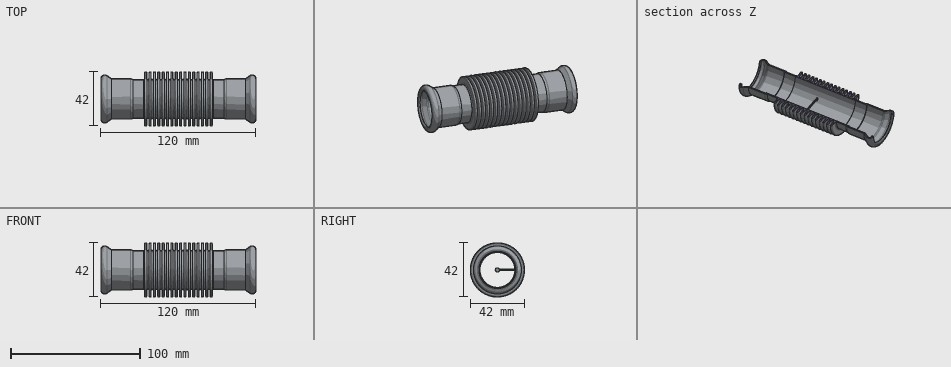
import cadquery as cq
import math

half_length = 60.0

fold_count = 16
bellows_length = 54.0
fold_pitch = bellows_length / fold_count
fold_outer_radius = 42.0 / 2
fold_round = fold_pitch / 4
bellows_half_length = bellows_length / 2

socket_radius = 31.3 / 2
socket_bore_radius = 28.2 / 2
neck_radius = 30.0 / 2
neck_bore_radius = 27.0 / 2
wall = socket_radius - socket_bore_radius
socket_end_x = -37.1
neck_start_x = -35.3

bead_round = 3.0
bead_inner_round = bead_round - wall
bead_center_x = -half_length + bead_round
bead_center_radius = 15.6
bead_cone_angle = math.radians(35)
bore_bend_round = 1.8
mouth_radius = 28.8 / 2
mouth_edge_round = 0.4

disc_diameter = 3.4
disc_thickness = 1.1
arm_width = 1.1


def arc_point(center, radius, angle):
    """Point of a circle, with the angle measured from +Y towards +X."""
    return (center[0] + radius * math.sin(angle), center[1] + radius * math.cos(angle))


def cone_foot_x(round_radius, foot_radius):
    """X where the cone tangent to a bead round comes down to foot_radius."""
    bead_center = (bead_center_x, bead_center_radius)
    start_x, start_radius = arc_point(bead_center, round_radius, bead_cone_angle)
    return start_x + (start_radius - foot_radius) / math.tan(bead_cone_angle)


def revolve_about_x(profile):
    return profile.revolve(360, (0, 0, 0), (1, 0, 0))


def make_left_fitting():
    bead_center = (bead_center_x, bead_center_radius)
    front_left = -math.pi / 4

    step_length = neck_start_x - socket_end_x
    step_height = socket_radius - neck_radius
    step_round = (step_length**2 + step_height**2) / (2 * step_height)
    step_center = (socket_end_x, socket_radius - step_round)
    step_half_angle = math.asin(step_length / step_round) / 2

    bend_x = cone_foot_x(bead_inner_round, socket_bore_radius)
    bend_reach = bore_bend_round * math.tan(bead_cone_angle / 2)
    bend_center = (bend_x + bend_reach, socket_bore_radius + bore_bend_round)

    edge_center = (-half_length + mouth_edge_round, mouth_radius + mouth_edge_round)

    profile = (
        cq.Workplane("XY")
        .moveTo(-half_length, mouth_radius + mouth_edge_round)
        .lineTo(-half_length, bead_center_radius)
        .threePointArc(
            arc_point(bead_center, bead_round, front_left),
            arc_point(bead_center, bead_round, bead_cone_angle),
        )
        .lineTo(cone_foot_x(bead_round, socket_radius), socket_radius)
        .lineTo(socket_end_x, socket_radius)
        .threePointArc(arc_point(step_center, step_round, step_half_angle), (neck_start_x, neck_radius))
        .lineTo(-bellows_half_length, neck_radius)
        .lineTo(-bellows_half_length, neck_bore_radius)
        .lineTo(socket_end_x, neck_bore_radius)
        .lineTo(socket_end_x, socket_bore_radius)
        .lineTo(bend_x + bend_reach, socket_bore_radius)
        .threePointArc(
            arc_point(bend_center, bore_bend_round, math.pi + bead_cone_angle / 2),
            arc_point(bend_center, bore_bend_round, math.pi + bead_cone_angle),
        )
        .lineTo(*arc_point(bead_center, bead_inner_round, bead_cone_angle))
        .threePointArc(
            arc_point(bead_center, bead_inner_round, front_left),
            (-half_length + wall, bead_center_radius),
        )
        .lineTo(-half_length + wall, mouth_radius)
        .lineTo(-half_length + mouth_edge_round, mouth_radius)
        .threePointArc(
            arc_point(edge_center, mouth_edge_round, -3 * math.pi / 4),
            (-half_length, mouth_radius + mouth_edge_round),
        )
        .close()
    )
    return revolve_about_x(profile)


def make_folds():
    """Tube with round-tipped folds and full-round roots around a plain bore."""
    root_center_radius = neck_radius + fold_round
    tip_center_radius = fold_outer_radius - fold_round
    profile = (
        cq.Workplane("XY")
        .moveTo(-bellows_half_length, neck_bore_radius)
        .lineTo(-bellows_half_length, neck_radius)
    )
    for index in range(fold_count):
        start_x = -bellows_half_length + index * fold_pitch
        end_x = start_x + fold_pitch
        tip_x = (start_x + end_x) / 2
        rising_root = arc_point((start_x, root_center_radius), fold_round, 3 * math.pi / 4)
        falling_root = arc_point((end_x, root_center_radius), fold_round, -3 * math.pi / 4)
        profile = (
            profile
            .threePointArc(rising_root, (tip_x - fold_round, root_center_radius))
            .lineTo(tip_x - fold_round, tip_center_radius)
            .threePointArc((tip_x, fold_outer_radius), (tip_x + fold_round, tip_center_radius))
            .lineTo(tip_x + fold_round, root_center_radius)
            .threePointArc(falling_root, (end_x, neck_radius))
        )
    return revolve_about_x(profile.lineTo(bellows_half_length, neck_bore_radius).close())


def make_center_disc():
    """Disc on the axis with its arm, which ends inside the bellows wall on the +Y side."""
    arm_length = (neck_bore_radius + neck_radius) / 2
    disc = cq.Workplane("YZ").circle(disc_diameter / 2).extrude(disc_thickness / 2, both=True)
    arm = cq.Workplane("XY").box(disc_thickness, arm_length, arm_width, centered=(True, False, True))
    return disc.union(arm)


def make_bellows():
    return make_folds().union(make_center_disc())


left_fitting = make_left_fitting()
right_fitting = left_fitting.mirror("YZ")
bellows = make_bellows()

result = cq.Compound.makeCompound([left_fitting.val(), bellows.val(), right_fitting.val()])